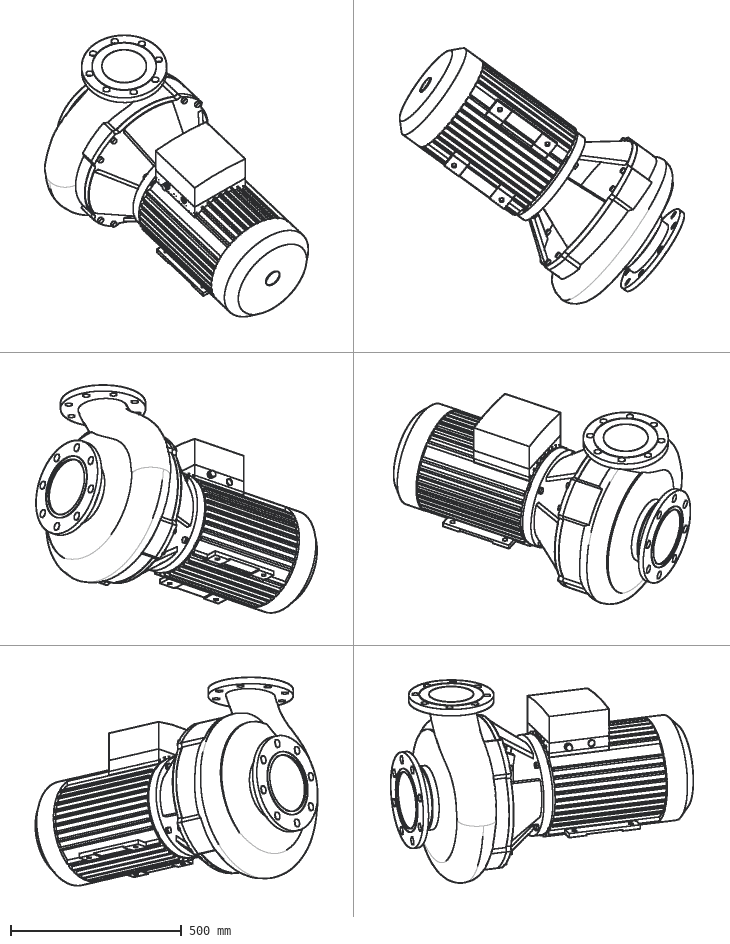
import cadquery as cq
import math


inlet_face_x = -140
outlet_face_z = 315
flange_bolt_count = 8
raised_face_height = 2
raised_face_dia = 188.3

inlet_flange_dia = 285
inlet_flange_thickness = 16
inlet_bolt_circle_dia = 240
inlet_bolt_hole_dia = 23
inlet_bore_dia = 168.3
inlet_bore_depth = 5

outlet_flange_dia = 250
outlet_flange_thickness = 20
outlet_bolt_circle_dia = 210
outlet_bolt_hole_dia = 20
outlet_bore_dia = 130.9
outlet_bore_depth = 1

neck_radius = 86.5
hub_radius = 95
hub_front_x = -91
cone_front_x = -72
cone_back_x = -52
cone_radius = 200
rim_radius = 225
rim_back_x = 100

volute_start_angle = -15
volute_grow_angle = 90
volute_end_angle = 270
volute_step = 15
volute_reach_start = 234
volute_reach_end = 277.2
tube_radius_start = 50
tube_radius_end = 57.5

bend_points = [(-157, 147), (-68, 203), (-26, 248), (10, 325)]
bend_end_direction = (0.3, 1)
outlet_radius = 70
bend_section_count = 9

plate_back_x = 115
plate_radius = 223
pad_radius = 234
pad_tip_width = 103
pad_root_radius = 200
pad_root_width = 144
pad_front_x = 12
motor_flange_front_x = 235
motor_flange_back_x = 263
motor_flange_dia = 300
arm_outer_start = 220
arm_outer_end = 131
arm_inner_start = 206
arm_inner_end = 118
arm_half_width_start = 90
arm_half_width_end = 57
stud_dia = 16
stud_length = 8
stud_radius = 222.5
stud_offset_angle = 9

bolt_circle_dia = 275
bolt_shank_dia = 10
bolt_hex_width = 16
bolt_head_height = 8

motor_neck_dia = 232
motor_dia = 312
core_radius = 146
motor_front_x = 271
cowl_front_x = 617
cowl_taper_x = 680
cowl_back_x = 709
cowl_end_radius = 127
fin_thickness = 5
fin_pitch = 22
fins_each_side = 4
end_plate_dia = 50
end_plate_offset = 6
motor_end_x = 712

foot_center_x = 432
foot_length = 222
foot_inner_y = 70
foot_outer_y = 128
foot_top_z = -117
foot_thickness = 9
foot_pad_length = 55
foot_pad_height = 4
foot_hole_dia = 13
foot_hole_y = 110
foot_hole_spacing = 176

box_length = 187
box_width = 188
box_bottom_z = 115
box_split_z = 160
box_side_z = 243.5
box_top_z = 250
gland_dia = 20
gland_neck_dia = 16
gland_collar_length = 4
gland_neck_length = 3
gland_length = 14
gland_x = 329
entry_x = 404
gland_z = 143
entry_depth = 3


def disc_x(x_from, x_to, radius):
    """Cylinder along the X axis."""
    return cq.Workplane("YZ", origin=(x_from, 0, 0)).circle(radius).extrude(x_to - x_from)


def flange_holes(plane, circle_dia, hole_dia, depth):
    """Ring of bolt holes that straddle the main axes of the flange."""
    half_step = 180 / flange_bolt_count
    return (
        cq.Workplane(plane)
        .polarArray(circle_dia / 2, half_step, 360, flange_bolt_count)
        .circle(hole_dia / 2)
        .extrude(depth)
    )


def volute_section(angle):
    """Circle of the spiral passage; the angle runs from +Z over +Y to -Z."""
    growth = max(0, (angle - volute_grow_angle) / (volute_end_angle - volute_grow_angle))
    tube_radius = tube_radius_start + growth * (tube_radius_end - tube_radius_start)
    reach = volute_reach_start + growth * (volute_reach_end - volute_reach_start)
    a = math.radians(angle)
    outward = cq.Vector(0, math.sin(a), math.cos(a))
    along = cq.Vector(0, math.cos(a), -math.sin(a))
    plane = cq.Plane(outward * (reach - tube_radius), outward, along)
    return cq.Workplane(plane).circle(tube_radius).val()


def make_volute():
    angles = range(volute_start_angle, volute_end_angle + 1, volute_step)
    return cq.Solid.makeLoft([volute_section(angle) for angle in angles])


def make_outlet_bend():
    """S-shaped passage from the end of the spiral up to the outlet flange."""
    flange_bottom_z = outlet_face_z - raised_face_height - outlet_flange_thickness
    path = cq.Edge.makeSpline(
        [
            cq.Vector(0, tube_radius_end - volute_reach_end, 0),
            *[cq.Vector(0, y, z) for y, z in bend_points],
        ],
        tangents=[cq.Vector(0, 0, 1), cq.Vector(0, *bend_end_direction)],
    )
    sections = []
    for i in range(bend_section_count):
        fraction = i / (bend_section_count - 1)
        tangent = path.tangentAt(fraction)
        inward = cq.Vector(1, 0, 0).cross(tangent)
        plane = cq.Plane(path.positionAt(fraction), inward, tangent)
        radius = tube_radius_end + fraction * (outlet_radius - tube_radius_end)
        sections.append(cq.Workplane(plane).circle(radius).val())
    bend = cq.Workplane(cq.Solid.makeLoft(sections))
    above_flange = cq.Workplane("XY", origin=(0, 0, flange_bottom_z))
    above_flange = above_flange.circle(outlet_flange_dia / 2).extrude(outlet_flange_dia)
    return bend.cut(above_flange)


def make_pads(x_from, x_to):
    """Disc with four raised pads halfway between the main axes; the pad sides flare inwards."""
    pad = (
        cq.Workplane("YZ", origin=(x_from, 0, 0))
        .moveTo(pad_root_radius, -pad_root_width / 2)
        .lineTo(pad_radius, -pad_tip_width / 2)
        .lineTo(pad_radius, pad_tip_width / 2)
        .lineTo(pad_root_radius, pad_root_width / 2)
        .close()
        .extrude(x_to - x_from)
        .intersect(disc_x(x_from, x_to, pad_radius))
    )
    pads = disc_x(x_from, x_to, pad_root_radius)
    for quarter in range(4):
        pads = pads.union(pad.rotate((0, 0, 0), (1, 0, 0), 45 + 90 * quarter))
    return pads


def make_inlet():
    flange_front_x = inlet_face_x + raised_face_height
    flange_back_x = flange_front_x + inlet_flange_thickness
    inlet = disc_x(inlet_face_x, flange_front_x, raised_face_dia / 2)
    inlet = inlet.union(disc_x(flange_front_x, flange_back_x, inlet_flange_dia / 2))
    inlet = inlet.union(disc_x(flange_back_x, hub_front_x, neck_radius))
    inlet = inlet.cut(disc_x(inlet_face_x, inlet_face_x + inlet_bore_depth, inlet_bore_dia / 2))
    plane = cq.Plane((flange_front_x, 0, 0), (0, 1, 0), (1, 0, 0))
    return inlet.cut(
        flange_holes(plane, inlet_bolt_circle_dia, inlet_bolt_hole_dia, inlet_flange_thickness)
    )


def make_outlet_flange():
    flange_top_z = outlet_face_z - raised_face_height
    flange_bottom_z = flange_top_z - outlet_flange_thickness
    base = cq.Workplane("XY", origin=(0, 0, flange_bottom_z))
    flange = base.circle(outlet_flange_dia / 2).extrude(outlet_flange_thickness)
    flange = flange.faces(">Z").workplane().circle(raised_face_dia / 2).extrude(raised_face_height)
    flange = flange.faces(">Z").workplane().circle(outlet_bore_dia / 2).cutBlind(-outlet_bore_depth)
    plane = cq.Plane((0, 0, flange_bottom_z), (1, 0, 0), (0, 0, 1))
    return flange.cut(
        flange_holes(plane, outlet_bolt_circle_dia, outlet_bolt_hole_dia, outlet_flange_thickness)
    )


def make_casing():
    body = (
        cq.Workplane("XY")
        .moveTo(hub_front_x, 0)
        .lineTo(hub_front_x, hub_radius)
        .lineTo(cone_front_x, hub_radius)
        .lineTo(cone_back_x, cone_radius)
        .lineTo(0, cone_radius)
        .lineTo(0, rim_radius)
        .lineTo(rim_back_x, rim_radius)
        .lineTo(rim_back_x, 0)
        .close()
        .revolve(360, (0, 0, 0), (1, 0, 0))
    )
    body = body.union(make_pads(pad_front_x, rim_back_x))
    body = body.union(cq.Workplane(make_volute()))
    body = body.union(make_outlet_bend())
    return body.union(make_inlet()).union(make_outlet_flange())


def make_arms():
    """Four arms: a conical shell cut down to two tapered crossing bands."""
    shell = (
        cq.Workplane("XY")
        .moveTo(plate_back_x, arm_inner_start)
        .lineTo(plate_back_x, arm_outer_start)
        .lineTo(motor_flange_front_x, arm_outer_end)
        .lineTo(motor_flange_front_x, arm_inner_end)
        .close()
        .revolve(360, (0, 0, 0), (1, 0, 0))
    )
    band = (
        cq.Workplane("XY")
        .moveTo(plate_back_x, -arm_half_width_start)
        .lineTo(motor_flange_front_x, -arm_half_width_end)
        .lineTo(motor_flange_front_x, arm_half_width_end)
        .lineTo(plate_back_x, arm_half_width_start)
        .close()
        .extrude(plate_radius, both=True)
    )
    bands = band.union(band.rotate((0, 0, 0), (1, 0, 0), 90))
    return shell.intersect(bands)


def make_studs():
    """Two stud ends on each pad."""
    angles = [
        quarter + 45 + side * stud_offset_angle
        for quarter in range(0, 360, 90)
        for side in (-1, 1)
    ]
    places = [
        (stud_radius * math.cos(math.radians(a)), stud_radius * math.sin(math.radians(a)))
        for a in angles
    ]
    plane = cq.Workplane("YZ", origin=(plate_back_x, 0, 0))
    return plane.pushPoints(places).circle(stud_dia / 2).extrude(stud_length)


def bolt_pattern(x):
    """Work plane across the shaft with the four flange bolt places selected."""
    plane = cq.Workplane("YZ", origin=(x, 0, 0))
    return plane.polarArray(bolt_circle_dia / 2, 45, 360, 4)


def make_lantern():
    lantern = disc_x(rim_back_x, plate_back_x, plate_radius)
    lantern = lantern.union(make_pads(rim_back_x, plate_back_x))
    lantern = lantern.union(make_arms()).union(make_studs())
    flange_thickness = motor_flange_back_x - motor_flange_front_x
    lantern = lantern.union(disc_x(motor_flange_front_x, motor_flange_back_x, motor_flange_dia / 2))
    holes = bolt_pattern(motor_flange_front_x).circle(bolt_shank_dia / 2).extrude(flange_thickness)
    return lantern.cut(holes)


def make_flange_bolts():
    """Four bolts through the motor flange, each with a hexagon head and nut."""
    hex_corner_dia = bolt_hex_width / math.cos(math.radians(30))
    head_x = motor_flange_front_x - bolt_head_height
    bolt = cq.Workplane("YZ", origin=(head_x, 0, bolt_circle_dia / 2))
    bolt = bolt.polygon(6, hex_corner_dia).extrude(bolt_head_height)
    nut = cq.Workplane("YZ", origin=(motor_flange_back_x, 0, bolt_circle_dia / 2))
    nut = nut.polygon(6, hex_corner_dia).extrude(bolt_head_height)
    shank = cq.Workplane("YZ", origin=(motor_flange_front_x, 0, bolt_circle_dia / 2))
    shank = shank.circle(bolt_shank_dia / 2).extrude(motor_flange_back_x - motor_flange_front_x)
    bolt = bolt.union(shank).union(nut)
    return [bolt.rotate((0, 0, 0), (1, 0, 0), 45 + 90 * i) for i in range(4)]


def make_fins():
    """Straight parallel fins on all four sides, trimmed to the motor diameter."""
    length = cowl_front_x - motor_front_x
    upright = cq.Workplane("YZ", origin=(motor_front_x, 0, 0))
    upright = upright.rarray(fin_pitch, 1, 2 * fins_each_side + 1, 1)
    upright = upright.rect(fin_thickness, motor_dia).extrude(length)
    fins = upright.union(upright.rotate((0, 0, 0), (1, 0, 0), 90))
    return fins.intersect(disc_x(motor_front_x, cowl_front_x, motor_dia / 2))


def make_foot(side):
    """Foot plate on one side of the motor, with a lower pad under each end."""
    width = foot_outer_y - foot_inner_y
    center_y = side * (foot_outer_y + foot_inner_y) / 2
    top = cq.Workplane("XY", origin=(foot_center_x, center_y, foot_top_z))
    foot = top.rect(foot_length, width).extrude(-foot_thickness)
    bottom = cq.Workplane("XY", origin=(foot_center_x, center_y, foot_top_z - foot_thickness))
    pads = bottom.rarray(foot_length - foot_pad_length, 1, 2, 1)
    foot = foot.union(pads.rect(foot_pad_length, width).extrude(-foot_pad_height))
    holes = cq.Workplane("XY", origin=(foot_center_x, side * foot_hole_y, foot_top_z))
    holes = holes.rarray(foot_hole_spacing, 1, 2, 1).circle(foot_hole_dia / 2)
    return foot.cut(holes.extrude(-foot_thickness - foot_pad_height))


def make_motor():
    motor = (
        cq.Workplane("XY")
        .moveTo(motor_flange_back_x, 0)
        .lineTo(motor_flange_back_x, motor_neck_dia / 2)
        .lineTo(motor_front_x, motor_neck_dia / 2)
        .lineTo(motor_front_x, core_radius)
        .lineTo(cowl_front_x, core_radius)
        .lineTo(cowl_front_x, motor_dia / 2)
        .lineTo(cowl_taper_x, motor_dia / 2)
        .lineTo(cowl_back_x, cowl_end_radius)
        .lineTo(cowl_back_x, 0)
        .close()
        .revolve(360, (0, 0, 0), (1, 0, 0))
    )
    motor = motor.union(make_fins()).union(make_foot(1)).union(make_foot(-1))
    end_plate = disc_x(cowl_back_x, motor_end_x, end_plate_dia / 2)
    return motor.union(end_plate.translate((0, 0, end_plate_offset)))


def gland_disc(x, y_from, length, diameter):
    """Cylinder along Y at the height of the cable entries, running outward from y_from."""
    plane = cq.Workplane("XZ", origin=(x, y_from, gland_z))
    return plane.circle(diameter / 2).extrude(length)


def make_box_base(motor):
    base = cq.Workplane("XY").box(
        box_length, box_width, box_split_z - box_bottom_z, centered=(False, True, False)
    )
    base = base.translate((motor_front_x, 0, box_bottom_z)).cut(motor)
    entry = gland_disc(entry_x, entry_depth - box_width / 2, entry_depth, gland_dia)
    return base.cut(entry)


def make_box_lid():
    """Lid with straight sides and a top that is slightly arched across Y."""
    half_width = box_width / 2
    return (
        cq.Workplane("YZ", origin=(motor_front_x, 0, 0))
        .moveTo(-half_width, box_split_z)
        .lineTo(half_width, box_split_z)
        .lineTo(half_width, box_side_z)
        .threePointArc((0, box_top_z), (-half_width, box_side_z))
        .close()
        .extrude(box_length)
    )


def make_gland():
    wall_y = -box_width / 2
    neck_y = wall_y - gland_collar_length
    head_y = neck_y - gland_neck_length
    head_length = gland_length - gland_collar_length - gland_neck_length
    gland = gland_disc(gland_x, wall_y, gland_collar_length, gland_dia)
    gland = gland.union(gland_disc(gland_x, neck_y, gland_neck_length, gland_neck_dia))
    return gland.union(gland_disc(gland_x, head_y, head_length, gland_dia))


casing = make_casing()
lantern = make_lantern()
flange_bolts = make_flange_bolts()
motor = make_motor()
box_base = make_box_base(motor)
box_lid = make_box_lid()
gland = make_gland()

result = cq.Compound.makeCompound(
    [
        *casing.vals(),
        *lantern.vals(),
        *[bolt.val() for bolt in flange_bolts],
        *motor.vals(),
        *box_base.vals(),
        *box_lid.vals(),
        *gland.vals(),
    ]
)